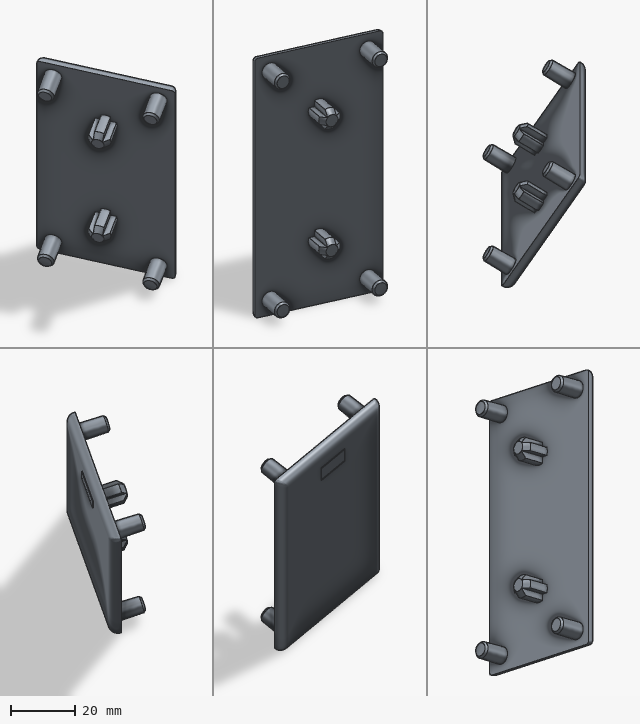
import cadquery as cq

width = 44.8
height = 89.8
plate_thickness = 3.4
rim_thickness = 0.5
corner_radius = 1.2
edge_radius = plate_thickness - rim_thickness

pad_width = 10.4
pad_height = 6.3
pad_thickness = 0.3
pad_center_z = 34.75

stud_length = 9.0
pin_x = 17.1
pin_z = 39.5
pin_base_diameter = 5.7
pin_end_diameter = 5.4
pin_tip_diameter = 4.2
pin_tip_length = 0.7

cross_z = 22.45
cross_diameter = 7.45
cross_tip_diameter = 4.1
cross_tip_length = 1.8
upright_arm_width = 3.05
level_arm_width = 2.7


def tapered_stud(base_diameter, end_diameter, tip_diameter, tip_length):
    """Round stud along -Y from the origin, narrowing to a conical tip."""
    shoulder_y = tip_length - stud_length
    profile = [
        (0, 0),
        (base_diameter / 2, 0),
        (end_diameter / 2, shoulder_y),
        (tip_diameter / 2, -stud_length),
        (0, -stud_length),
    ]
    return cq.Workplane("XY").polyline(profile).close().revolve(360, (0, 0), (0, 1))


def cross_stud():
    """Cross-shaped stud with rounded arm ends and a conical tip."""
    envelope = tapered_stud(cross_diameter, cross_diameter, cross_tip_diameter, cross_tip_length)
    arms = (
        cq.Workplane("XZ")
        .rect(upright_arm_width, cross_diameter)
        .extrude(stud_length)
        .union(cq.Workplane("XZ").rect(cross_diameter, level_arm_width).extrude(stud_length))
    )
    return envelope.intersect(arms)


def plate():
    """Rectangular cover with rounded corners and a rounded outer edge."""
    outline = cq.Workplane("XZ").rect(width, height).extrude(-plate_thickness)
    return outline.edges("|Y").fillet(corner_radius).faces(">Y").edges().fillet(edge_radius)


result = plate()

pad = (
    cq.Workplane("XZ", origin=(0, plate_thickness, pad_center_z))
    .rect(pad_width, pad_height)
    .extrude(-pad_thickness)
)
result = result.union(pad)

pin = tapered_stud(pin_base_diameter, pin_end_diameter, pin_tip_diameter, pin_tip_length)
cross = cross_stud()
for side_z in (-1, 1):
    result = result.union(cross.translate((0, 0, side_z * cross_z)))
    for side_x in (-1, 1):
        result = result.union(pin.translate((side_x * pin_x, 0, side_z * pin_z)))